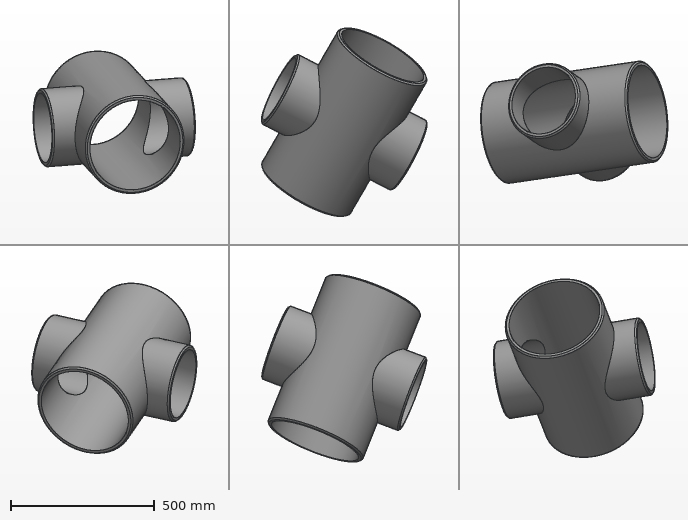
import cadquery as cq

main_length = 559.0
main_outer_diameter = 355.5
main_bore_diameter = 325.0
branch_length = 514.0
branch_outer_diameter = 272.5
branch_bore_diameter = 242.5

bevel_axial = 5.5
bevel_radial = 5.5


def bevelled_bar(length, diameter):
    """Solid bar along X, centred on the origin, with both ends bevelled."""
    half = length / 2
    radius = diameter / 2
    return (
        cq.Workplane("XY")
        .moveTo(-half, 0)
        .lineTo(-half, radius - bevel_radial)
        .lineTo(-half + bevel_axial, radius)
        .lineTo(half - bevel_axial, radius)
        .lineTo(half, radius - bevel_radial)
        .lineTo(half, 0)
        .close()
        .revolve(360, (0, 0, 0), (1, 0, 0))
    )


def bore(plane, length, diameter):
    """Through bore centred on the origin, normal to the given plane."""
    return cq.Workplane(plane).circle(diameter / 2).extrude(length / 2, both=True)


def turn_to_y(body):
    """Turn a body lying along X so that it lies along Y."""
    return body.rotate((0, 0, 0), (0, 0, 1), 90)


main_bar = bevelled_bar(main_length, main_outer_diameter)
branch_bar = turn_to_y(bevelled_bar(branch_length, branch_outer_diameter))

result = (
    main_bar.union(branch_bar)
    .cut(bore("YZ", main_length, main_bore_diameter))
    .cut(bore("XZ", branch_length, branch_bore_diameter))
)